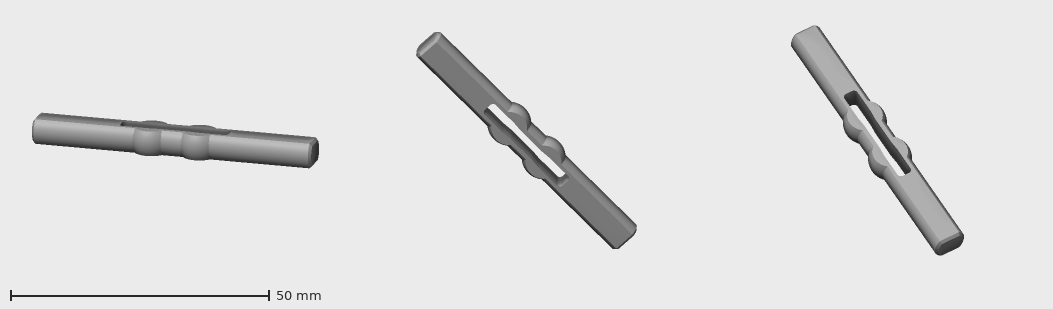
import cadquery as cq

bar_length = 56.25
bar_diameter = 6.6
bar_height = 5.0
end_chamfer = 0.5

ball_diameter = 8.55
ball_spacing = 9.7

slot_length = 21.9
slot_width = 2.9
slot_waist_width = 2.6
slot_waist_length = 5.95
slot_taper_length = 2.0
slot_corner_radius = 0.8


def make_bar():
    """Flatted rod along X with both ends chamfered all round."""
    rod = cq.Workplane("YZ").circle(bar_diameter / 2).extrude(bar_length / 2, both=True)
    flats = cq.Workplane("XY").box(bar_length, bar_diameter, bar_height)
    return rod.intersect(flats).faces("<X or >X").chamfer(end_chamfer)


def make_balls():
    """Two spheres on the bar axis, cut to the height of the flats."""
    half_spacing = ball_spacing / 2
    centers = [(-half_spacing, 0), (half_spacing, 0)]
    spheres = cq.Workplane("XY").pushPoints(centers).sphere(ball_diameter / 2)
    flats = cq.Workplane("XY").box(bar_length, ball_diameter, bar_height)
    return spheres.intersect(flats)


def make_slot():
    """Through slot with rounded corners and a waist reached by short tapers."""
    end_x = slot_length / 2
    waist_x = slot_waist_length / 2
    taper_x = waist_x + slot_taper_length
    wide_y = slot_width / 2
    waist_y = slot_waist_width / 2
    upper_side = [
        (-end_x, wide_y),
        (-taper_x, wide_y),
        (-waist_x, waist_y),
        (waist_x, waist_y),
        (taper_x, wide_y),
        (end_x, wide_y),
    ]
    lower_side = [(-x, -y) for x, y in upper_side]
    slot = (
        cq.Workplane("XY")
        .polyline(upper_side + lower_side)
        .close()
        .extrude(bar_height / 2, both=True)
    )
    return slot.edges("|Z and (<X or >X)").fillet(slot_corner_radius)


result = make_bar().union(make_balls()).cut(make_slot())